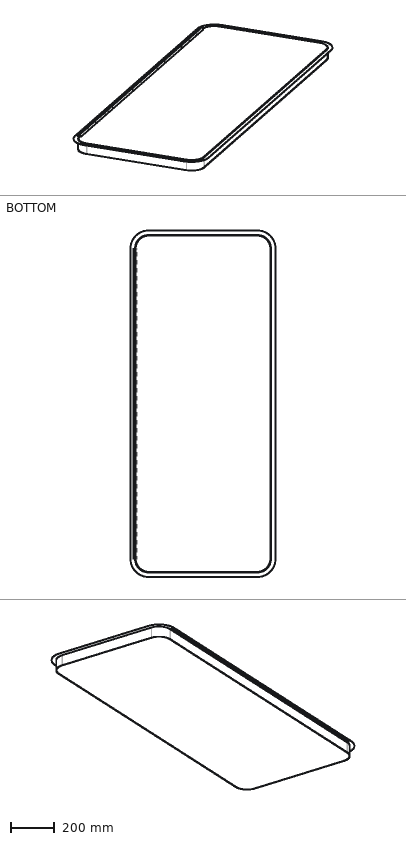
import cadquery as cq

flange_width = 662.0
flange_length = 1580.0
flange_radius = 84.0
flange_top = 52.0
flange_thickness = 2.0
flange_overhang = 20.0

skirt_thickness = 2.0
skirt_width = flange_width - 2 * flange_overhang
skirt_length = flange_length - 2 * flange_overhang
skirt_radius = flange_radius - flange_overhang
opening_width = skirt_width - 2 * skirt_thickness
opening_length = skirt_length - 2 * skirt_thickness
opening_radius = skirt_radius - skirt_thickness

panel_clearance = 2.0
panel_width = opening_width - 2 * panel_clearance
panel_length = opening_length - 2 * panel_clearance
panel_radius = opening_radius - panel_clearance

bead_width = 16.0
bead_height = 8.0
bead_length = flange_length - 2 * flange_radius
bead_x = -(opening_width + skirt_width) / 4


def rounded_block(width, length, radius, bottom, top):
    """Upright block centred on the Z axis, with rounded corners in plan."""
    return (
        cq.Workplane("XY")
        .workplane(offset=bottom)
        .rect(width, length)
        .extrude(top - bottom)
        .edges("|Z")
        .fillet(radius)
    )


def make_bead():
    """Rounded ridge along Y that rests on top of the flange."""
    return (
        cq.Workplane("XZ", origin=(bead_x, bead_length / 2, flange_top))
        .moveTo(-bead_width / 2, 0)
        .threePointArc((0, bead_height), (bead_width / 2, 0))
        .close()
        .extrude(bead_length)
    )


def make_frame():
    """Flange and skirt around one opening, with the bead on one long side."""
    flange_bottom = flange_top - flange_thickness
    flange = rounded_block(flange_width, flange_length, flange_radius, flange_bottom, flange_top)
    skirt = rounded_block(skirt_width, skirt_length, skirt_radius, 0, flange_top)
    opening = rounded_block(opening_width, opening_length, opening_radius, 0, flange_top)
    return flange.union(skirt).cut(opening).union(make_bead())


def make_panel():
    """Flat panel that fills the frame, flush with the top of the flange."""
    return rounded_block(panel_width, panel_length, panel_radius, 0, flange_top)


frame = make_frame()
panel = make_panel()

result = cq.Compound.makeCompound([frame.val(), panel.val()])